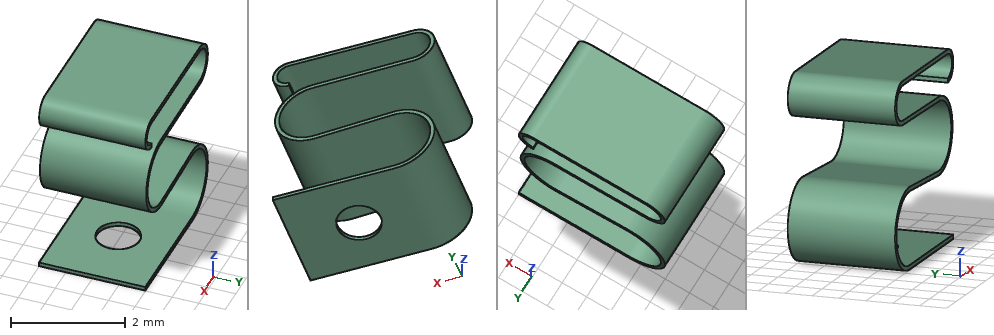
import cadquery as cq
import math

length = 3.0
width = 2.0
height = 3.5
thickness = 0.08

base_bend_radius = 0.75
middle_bend_radius = 0.71
top_bend_radius = 0.4
hook_radius = 0.3

middle_bend_right = 2.96
middle_bend_height = 2.045

hole_diameter = 0.8
hole_from_free_end = 1.25

base_center = (base_bend_radius, base_bend_radius)
middle_center = (middle_bend_right - middle_bend_radius, middle_bend_height)
top_center = (top_bend_radius, height - top_bend_radius)
hook_center = (length - hook_radius, height - hook_radius)


def on_circle(center, radius, angle):
    """Point on a circle, with the angle in radians from +X towards +Z."""
    return (center[0] + radius * math.cos(angle), center[1] + radius * math.sin(angle))


def crossing_angle(left, right, radius_sum, side):
    """Direction of the web crossing between two opposite bends.

    side is +1 if the web passes over the left bend, -1 if it passes under it.
    """
    dx = right[0] - left[0]
    dz = right[1] - left[1]
    return math.atan2(dz, dx) - side * math.asin(radius_sum / math.hypot(dx, dz))


UP = math.pi / 2
DOWN = -math.pi / 2

lower_web = crossing_angle(
    base_center, middle_center, base_bend_radius + middle_bend_radius - thickness, 1
)
upper_web = crossing_angle(
    top_center, middle_center, top_bend_radius + middle_bend_radius - thickness, -1
)

bends = [
    (base_center, base_bend_radius, 2 * math.pi + DOWN, UP + lower_web, True),
    (middle_center, middle_bend_radius, DOWN + lower_web, UP + upper_web, False),
    (top_center, top_bend_radius, 2 * math.pi + DOWN + upper_web, UP, True),
    (hook_center, hook_radius, UP, DOWN, True),
]


def face_arcs(first_face):
    """Start, middle and end points of every bend along one face of the strip."""
    arcs = []
    for center, outer_radius, start, end, outer_on_first in bends:
        is_outer = outer_on_first == first_face
        radius = outer_radius if is_outer else outer_radius - thickness
        angles = (start, (start + end) / 2, end)
        arcs.append([on_circle(center, radius, angle) for angle in angles])
    return arcs


def make_strip():
    """Follow the first face up to the hook tip and the second face back down."""
    outline = cq.Workplane("XZ").moveTo(length, 0)
    for start, middle, end in face_arcs(True):
        outline = outline.lineTo(*start).threePointArc(middle, end)
    for start, middle, end in reversed(face_arcs(False)):
        outline = outline.lineTo(*end).threePointArc(middle, start)
    outline = outline.lineTo(length, thickness).close()
    return outline.extrude(width / 2, both=True)


def make_base_hole():
    """Cutter that passes through the base only."""
    return (
        cq.Workplane("XY")
        .center(length - hole_from_free_end, 0)
        .circle(hole_diameter / 2)
        .extrude(2 * thickness, both=True)
    )


result = make_strip().cut(make_base_hole())